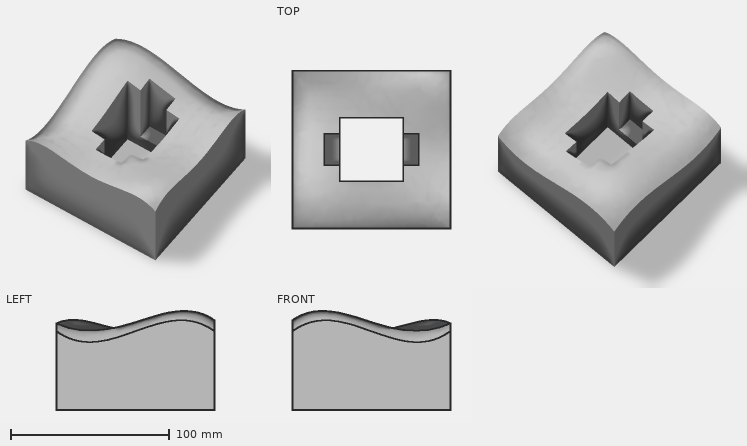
import cadquery as cq

side = 100.0
half_side = side / 2
corner_height = 50.0

s_wave = 18.0
hump_wave = 20.0
surface_overhang = 2.0
surface_steps = 24

hole_side = 40.0
notch_span = 60.0
notch_width = 20.0
notch_floor = 10.0


def s_edge(s):
    """Rise of the S-shaped edges; s runs from -1 to 1 along the edge."""
    return -s_wave * s * (1 - s**2)


def hump_edge(s):
    """Rise of the double-humped edges; s runs from -1 to 1 along the edge."""
    return hump_wave * s**2 * (1 - s**2)


def blend(along, across):
    """Blend linearly from an S-shaped edge to the double-humped edge opposite."""
    far_share = (1 + across) / 2
    return (1 - far_share) * s_edge(along) + far_share * hump_edge(along)


def top_point(x, y):
    """Point on the top surface, a Coons patch between the four edges."""
    u = x / half_side
    v = y / half_side
    return cq.Vector(x, y, corner_height + blend(u, v) + blend(v, u))


def wavy_block():
    reach = half_side + surface_overhang
    step = 2 * reach / surface_steps
    stations = [-reach + i * step for i in range(surface_steps + 1)]
    grid = [[top_point(x, y) for y in stations] for x in stations]
    top = cq.Face.makeSplineApprox(grid, tol=0.001, minDeg=3, maxDeg=6)
    below_top = cq.Solid.extrudeLinear(top, cq.Vector(0, 0, -2 * corner_height))
    envelope = cq.Workplane("XY").rect(side, side).extrude(2 * corner_height)
    return envelope.intersect(cq.Workplane(obj=below_top))


def opening():
    hole = cq.Workplane("XY").rect(hole_side, hole_side).extrude(2 * corner_height)
    notches = (
        cq.Workplane("XY")
        .workplane(offset=notch_floor)
        .rect(notch_span, notch_width)
        .extrude(2 * corner_height)
    )
    return hole.union(notches)


result = wavy_block().cut(opening())